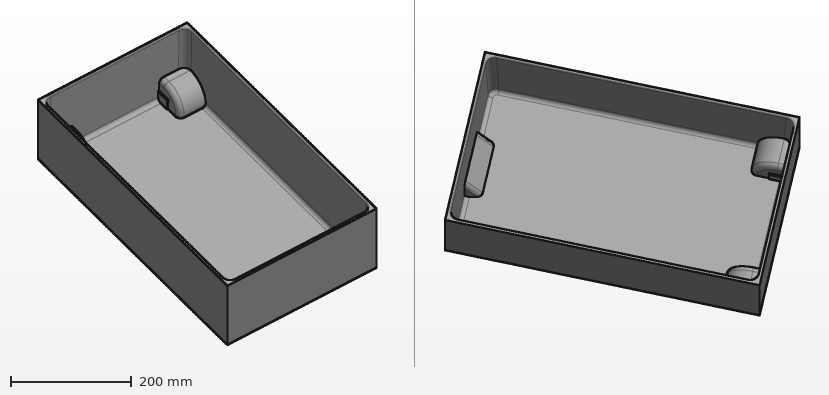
import math

import cadquery as cq

LENGTH = 533.5
WIDTH = 305.0
HEIGHT = 140.0

FLOOR_THICKNESS = 5.5
RIM_WALL = 6.0
WALL_DRAFT = 2.5
CORNER_RADIUS = 15.0
FLOOR_FILLET = 8.0
RIM_FILLET = 1.5

PAD_LENGTH = 69.0
PAD_HEIGHT = 47.0
PAD_ARC_RADIUS = 45.5
PAD_WIDTH = 66.0
PAD_FILLET = 10.0

LEDGE_LENGTH = 37.0
LEDGE_WIDTH = 1.5
LEDGE_HEIGHT = 21.5

RAMP_REACH = 39.5
RAMP_ANGLE = 53.0
RAMP_WIDTH = 98.0
RAMP_DRAFT = 15.0
RAMP_FILLET = 9.5

X_MIN = -LENGTH / 2
X_MAX = LENGTH / 2
Y_MIN = -WIDTH / 2
Y_MAX = WIDTH / 2


def make_block():
    """Return the solid outer block."""
    return cq.Workplane("XY").box(LENGTH, WIDTH, HEIGHT, centered=(True, True, False))


def make_shell():
    """Return the block with its drafted, rounded cavity."""
    cavity = (
        cq.Workplane("XY", origin=(0, 0, HEIGHT))
        .rect(LENGTH - 2 * RIM_WALL, WIDTH - 2 * RIM_WALL)
        .extrude(FLOOR_THICKNESS - HEIGHT, taper=WALL_DRAFT)
        .edges("not(#Z)")
        .fillet(CORNER_RADIUS)
        .faces("<Z")
        .edges()
        .fillet(FLOOR_FILLET)
    )
    rim_edges = cq.selectors.BoxSelector(
        (X_MIN + RIM_WALL / 2, Y_MIN + RIM_WALL / 2, HEIGHT - RIM_FILLET),
        (X_MAX - RIM_WALL / 2, Y_MAX - RIM_WALL / 2, HEIGHT + RIM_FILLET),
        boundingbox=True,
    )
    return make_block().cut(cavity).edges(rim_edges).fillet(RIM_FILLET)


def make_corner_pad():
    """Return the pad and ledge of the -X, -Y corner."""
    free_side = Y_MIN + PAD_WIDTH
    free_corner = (X_MIN, free_side, FLOOR_THICKNESS + PAD_HEIGHT)
    pad = (
        cq.Workplane("XY", origin=(X_MIN, Y_MIN, FLOOR_THICKNESS))
        .rect(2 * PAD_LENGTH, 2 * PAD_WIDTH)
        .extrude(PAD_HEIGHT, taper=WALL_DRAFT)
        .faces(">Z")
        .edges(">X")
        .fillet(PAD_ARC_RADIUS)
        .edges(cq.selectors.NearestToPointSelector(free_corner))
        .fillet(PAD_FILLET)
    )
    ledge = cq.Workplane("XY", origin=(X_MIN, free_side - PAD_FILLET, 0)).box(
        LEDGE_LENGTH,
        PAD_FILLET + LEDGE_WIDTH,
        FLOOR_THICKNESS + LEDGE_HEIGHT,
        centered=False,
    )
    return pad.union(ledge).intersect(make_block())


def make_ramp():
    """Return the sloped pad of the +X wall, its sides flaring away from the sloped face."""
    angle = math.radians(RAMP_ANGLE)
    outward = cq.Vector(-math.sin(angle), 0, math.cos(angle))
    depth = RAMP_REACH
    flare = depth * math.tan(math.radians(RAMP_DRAFT))
    foot = cq.Vector(X_MAX - RAMP_REACH, 0, FLOOR_THICKNESS)
    slope_plane = cq.Plane(origin=foot - outward * depth, xDir=(0, 1, 0), normal=outward)
    slope_length = 4 * RAMP_REACH / math.cos(angle)
    return (
        cq.Workplane(slope_plane)
        .rect(RAMP_WIDTH + 2 * flare, slope_length)
        .extrude(depth, taper=RAMP_DRAFT)
        .faces(cq.selectors.DirectionNthSelector(outward, -1))
        .edges("#Y")
        .fillet(RAMP_FILLET)
        .intersect(make_block())
    )


pad = make_corner_pad()
result = make_shell().union(pad).union(pad.mirror("XZ")).union(make_ramp())